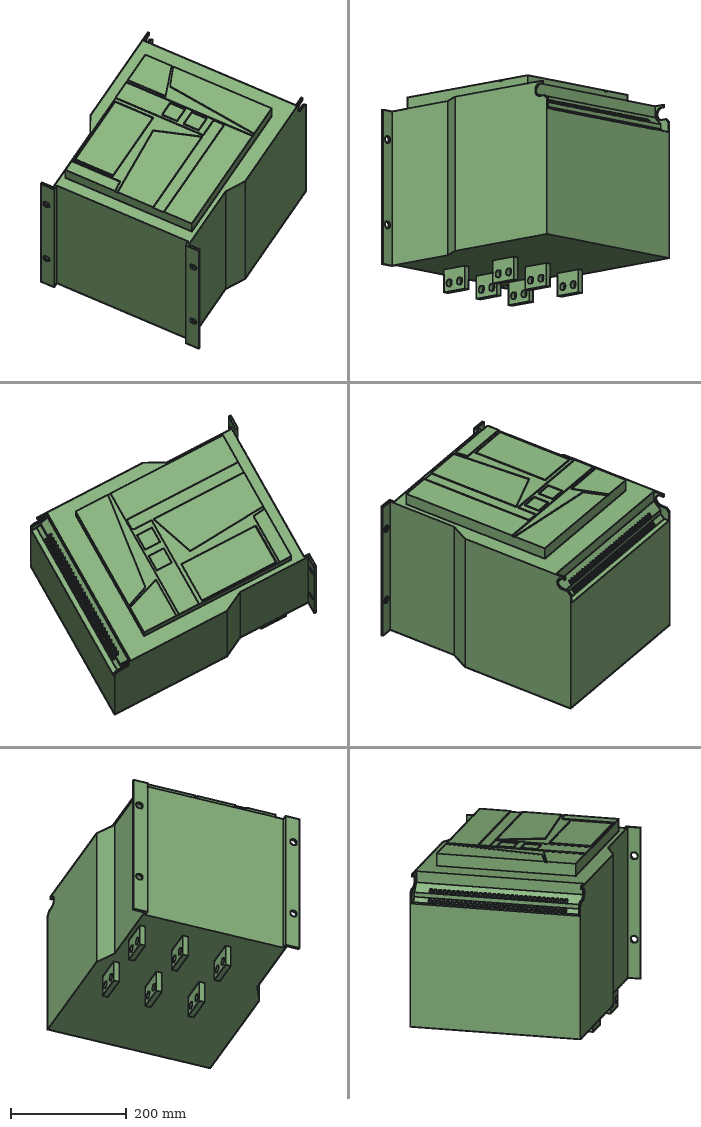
import cadquery as cq
import math

FLANGE_HALF = 155.0
REAR_HALF = 152.0
FRONT_HALF = 133.0
SHEET = 4.0
DEPTH = 394.0
HEIGHT = 271.0
FRONT_RECESS = 10.0
TAPER_FRONT_Y = 137.5
TAPER_REAR_Y = 173.5

MOUNT_DIA = 12.5
MOUNT_X = 144.0
MOUNT_ZS = (70.0, 220.0)

WALL = 3.0
VENT_TOP_Y = 362.5
VENT_RISER_Y = 376.5
VENT_END_Y = 384.0
VENT_DROP = 20.0
VENT_RISER = 8.0
VENT_ANGLE = 45.0
SLOT_COUNT = 31
SLOT_PITCH = 8.05
SLOT_WIDTH = 4.6
SLOT_LENGTH = 8.5
SLOT_DEPTH = 3.0
SLOT_SETBACK = 3.4

VENT_FALL = math.tan(math.radians(VENT_ANGLE))
UPPER_START_Z = HEIGHT - VENT_DROP
UPPER_END_Z = UPPER_START_Z - (VENT_RISER_Y - VENT_TOP_Y) * VENT_FALL
LOWER_START_Z = UPPER_END_Z - VENT_RISER
LEDGE_Z = LOWER_START_Z - (VENT_END_Y - VENT_RISER_Y) * VENT_FALL

NOTCH_RADIUS = 10.8
NOTCH_CENTRE_Y = DEPTH - 17.5
NOTCH_CENTRE_Z = HEIGHT - 15.1
LIP_END_Y = DEPTH - 12.0
NOTCH_CHAMFER = 6.5

BEZEL_HALF = 124.0
BEZEL_FRONT_Y = 32.0
BEZEL_REAR_Y = 321.0
BEZEL_HEIGHT = 22.0
PAD_HEIGHT = 1.5
PAD_TOP_Z = HEIGHT + BEZEL_HEIGHT
PAD_BASE_Z = PAD_TOP_Z - PAD_HEIGHT

BADGE_FRONT_Y = 257.6
BADGE_REAR_X = -72.6
BADGE_FRONT_X = -50.0
CROWN_REAR_X = -69.3
CROWN_CORNER = (-53.5, 280.2)
BAND_REAR_Y = 252.6
BAND_FRONT_Y = 213.2
STRIP_LEFT_X = 48.0
STRIP_RIGHT_X = 69.0
STRIP_REAR_Y = 251.0
STRIP_CORNER_RADIUS = 4.0
WINDOW_SIZE = 29.4
WINDOW_X = 21.2
WINDOW_Y = 233.7
WEDGE_REAR_LEFT = (-32.8, 181.1)
WEDGE_REAR_RIGHT_Y = 209.3
WEDGE_FRONT_X = -22.0
FOOT_REAR_Y = 55.1
FOOT_REAR_X = -29.5
FOOT_FRONT_X = -26.5
DISPLAY_LEFT_X = -121.0
DISPLAY_RIGHT_X = -46.2
DISPLAY_REAR_Y = 205.7
DISPLAY_FRONT_Y = 59.5
DISPLAY_CHAMFER = 1.4

LUG_XS = (-120.5, -40.5, 39.5)
LUG_YS = (67.5, 185.5)
LUG_THICKNESS = 10.0
LUG_WIDTH = 50.0
LUG_LENGTH = 40.0
LUG_HOLE_DIA = 12.5
LUG_HOLE_PITCH = 25.0
LUG_HOLE_Z = -25.0


def box(x0, x1, y0, y1, z0, z1):
    return cq.Workplane("XY").box(x1 - x0, y1 - y0, z1 - z0, centered=False).translate((x0, y0, z0))


def prism(points, z0, z1):
    return cq.Workplane("XY").workplane(offset=z0).polyline(points).close().extrude(z1 - z0)


def enclosure():
    right = [
        (FRONT_HALF - SHEET, FRONT_RECESS),
        (FRONT_HALF - SHEET, 0),
        (FLANGE_HALF, 0),
        (FLANGE_HALF, SHEET),
        (FRONT_HALF, SHEET),
        (FRONT_HALF, TAPER_FRONT_Y),
        (REAR_HALF, TAPER_REAR_Y),
        (REAR_HALF, DEPTH),
    ]
    left = [(-x, y) for x, y in reversed(right)]
    return prism(right + left, 0, HEIGHT)


def mounting_holes():
    centres = [(x, z) for x in (-MOUNT_X, MOUNT_X) for z in MOUNT_ZS]
    return cq.Workplane("XZ").pushPoints(centres).circle(MOUNT_DIA / 2).extrude(-SHEET)


def vent_cut():
    profile = [
        (VENT_TOP_Y, HEIGHT),
        (VENT_TOP_Y, UPPER_START_Z),
        (VENT_RISER_Y, UPPER_END_Z),
        (VENT_RISER_Y, LOWER_START_Z),
        (VENT_END_Y, LEDGE_Z),
        (DEPTH, LEDGE_Z),
        (DEPTH, HEIGHT),
    ]
    return cq.Workplane("YZ").polyline(profile).close().extrude(REAR_HALF - WALL, both=True)


def vent_slots(slope_end_y, slope_end_z):
    centre_y = slope_end_y - SLOT_SETBACK
    centre_z = slope_end_z + SLOT_SETBACK * VENT_FALL
    normal = (0, VENT_FALL, 1)
    slope = cq.Plane(origin=(0, centre_y, centre_z), xDir=(1, 0, 0), normal=normal)
    return (
        cq.Workplane(slope)
        .rarray(SLOT_PITCH, 1, SLOT_COUNT, 1)
        .slot2D(SLOT_LENGTH, SLOT_WIDTH, 90)
        .extrude(-SLOT_DEPTH)
    )


def notch_cut():
    top = NOTCH_CENTRE_Z + NOTCH_RADIUS
    bottom = NOTCH_CENTRE_Z - NOTCH_RADIUS
    return (
        cq.Workplane("YZ")
        .moveTo(LIP_END_Y, HEIGHT)
        .lineTo(LIP_END_Y, top)
        .lineTo(NOTCH_CENTRE_Y, top)
        .threePointArc((NOTCH_CENTRE_Y - NOTCH_RADIUS, NOTCH_CENTRE_Z), (NOTCH_CENTRE_Y, bottom))
        .lineTo(DEPTH - NOTCH_CHAMFER, bottom)
        .lineTo(DEPTH, bottom - NOTCH_CHAMFER)
        .lineTo(DEPTH, HEIGHT)
        .close()
        .extrude(REAR_HALF, both=True)
    )


def badge_pad():
    return prism(
        [
            (-BEZEL_HALF, BEZEL_REAR_Y),
            (BADGE_REAR_X, BEZEL_REAR_Y),
            (BADGE_FRONT_X, BADGE_FRONT_Y),
            (-BEZEL_HALF, BADGE_FRONT_Y),
        ],
        PAD_BASE_Z,
        PAD_TOP_Z,
    )


def crown_pad():
    return prism(
        [
            (CROWN_REAR_X, BEZEL_REAR_Y),
            CROWN_CORNER,
            (BEZEL_HALF, BADGE_FRONT_Y),
            (BEZEL_HALF, BEZEL_REAR_Y),
        ],
        PAD_BASE_Z,
        PAD_TOP_Z,
    )


def band_pad():
    band = box(-BEZEL_HALF, BEZEL_HALF, BAND_FRONT_Y, BAND_REAR_Y, PAD_BASE_Z, PAD_TOP_Z)
    column = box(STRIP_LEFT_X, BEZEL_HALF, BEZEL_FRONT_Y, BAND_REAR_Y, PAD_BASE_Z, PAD_TOP_Z)
    strip = box(STRIP_LEFT_X, STRIP_RIGHT_X, BEZEL_FRONT_Y, STRIP_REAR_Y, PAD_BASE_Z, PAD_TOP_Z)
    strip = strip.edges("|Z and >Y").fillet(STRIP_CORNER_RADIUS)
    windows = (
        cq.Workplane("XY", origin=(0, WINDOW_Y, PAD_BASE_Z))
        .pushPoints([(-WINDOW_X, 0), (WINDOW_X, 0)])
        .rect(WINDOW_SIZE, WINDOW_SIZE)
        .extrude(PAD_HEIGHT)
    )
    return band.union(column).cut(strip).cut(windows)


def wedge_pad():
    return prism(
        [
            WEDGE_REAR_LEFT,
            (STRIP_LEFT_X, WEDGE_REAR_RIGHT_Y),
            (STRIP_LEFT_X, BEZEL_FRONT_Y),
            (WEDGE_FRONT_X, BEZEL_FRONT_Y),
        ],
        PAD_BASE_Z,
        PAD_TOP_Z,
    )


def foot_pad():
    return prism(
        [
            (-BEZEL_HALF, FOOT_REAR_Y),
            (FOOT_REAR_X, FOOT_REAR_Y),
            (FOOT_FRONT_X, BEZEL_FRONT_Y),
            (-BEZEL_HALF, BEZEL_FRONT_Y),
        ],
        PAD_BASE_Z,
        PAD_TOP_Z,
    )


def display_pad():
    pad = box(DISPLAY_LEFT_X, DISPLAY_RIGHT_X, DISPLAY_FRONT_Y, DISPLAY_REAR_Y, PAD_BASE_Z, PAD_TOP_Z)
    return pad.edges("<Y and >Z").chamfer(DISPLAY_CHAMFER)


def bezel():
    body = box(-BEZEL_HALF, BEZEL_HALF, BEZEL_FRONT_Y, BEZEL_REAR_Y, HEIGHT, PAD_BASE_Z)
    for pad in (badge_pad(), crown_pad(), band_pad(), wedge_pad(), foot_pad(), display_pad()):
        body = body.union(pad)
    return body


def lug(x, y):
    blade = box(x - LUG_THICKNESS / 2, x + LUG_THICKNESS / 2, y - LUG_WIDTH / 2, y + LUG_WIDTH / 2,
                -LUG_LENGTH, 0)
    holes = (
        cq.Workplane("YZ", origin=(x, y, LUG_HOLE_Z))
        .pushPoints([(-LUG_HOLE_PITCH / 2, 0), (LUG_HOLE_PITCH / 2, 0)])
        .circle(LUG_HOLE_DIA / 2)
        .extrude(LUG_THICKNESS, both=True)
    )
    return blade.cut(holes)


result = enclosure().cut(mounting_holes()).cut(vent_cut()).cut(notch_cut())
result = result.cut(vent_slots(VENT_RISER_Y, UPPER_END_Z))
result = result.cut(vent_slots(VENT_END_Y, LEDGE_Z))
result = result.union(bezel())
for x in LUG_XS:
    for y in LUG_YS:
        result = result.union(lug(x, y))